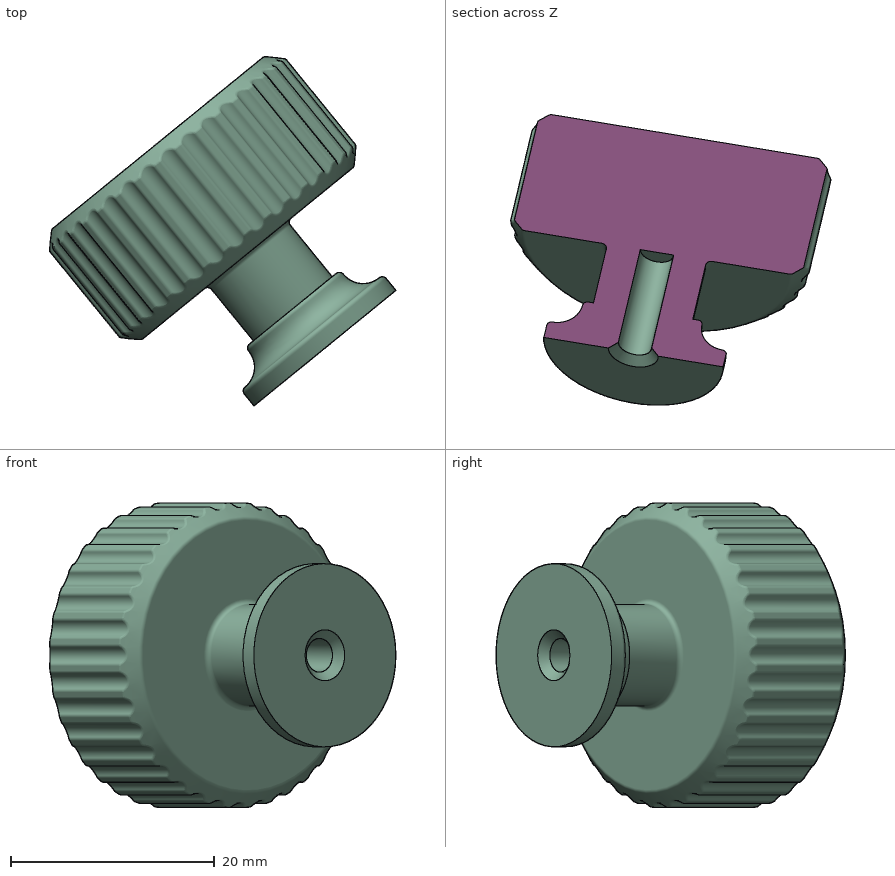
import cadquery as cq
import math

TILT = 39.15

HEAD_RADIUS = 15.0
HEAD_LENGTH = 14.0
HEAD_CHAMFER = 1.53
FACE_EDGE_ROUND = 0.5

FLUTE_COUNT = 36
FLUTE_RADIUS = 1.0
FLUTE_DEPTH = 0.5
LAND_EDGE_ROUND = 0.4
FLUTE_END_ROUND = 0.3

STEM_RADIUS = 5.0
STEM_LENGTH = 7.0
STEM_ROOT_ROUND = 0.5

FOOT_RADIUS = 9.0
FOOT_RIM_HEIGHT = 2.0
FOOT_EDGE_ROUND = 0.5
FLARE_RADIUS = 2.5

HOLE_DIAMETER = 3.3
COUNTERSINK_DIAMETER = 5.0
COUNTERSINK_ANGLE = 90.0

COLLAR_RADIUS = FOOT_RADIUS - FOOT_EDGE_ROUND - FLARE_RADIUS
FOOT_LENGTH = FOOT_RIM_HEIGHT + FLARE_RADIUS + FOOT_EDGE_ROUND
HEAD_START = FOOT_LENGTH + STEM_LENGTH
HOLE_DEPTH = HEAD_START

OUTWARD_UP = 45
INWARD_UP = 135
INWARD_DOWN = 225


def make_head():
    """Chamfered cylinder with flutes along its side and all edges rounded."""
    blank = (
        cq.Workplane("XY", origin=(0, 0, HEAD_START))
        .circle(HEAD_RADIUS)
        .extrude(HEAD_LENGTH)
        .faces("<Z or >Z")
        .chamfer(HEAD_CHAMFER)
        .faces("<Z or >Z")
        .edges()
        .fillet(FACE_EDGE_ROUND)
    )
    flutes = (
        cq.Workplane("XY", origin=(0, 0, HEAD_START))
        .polarArray(HEAD_RADIUS - FLUTE_DEPTH + FLUTE_RADIUS, 0, 360, FLUTE_COUNT)
        .circle(FLUTE_RADIUS)
        .extrude(HEAD_LENGTH)
    )
    fluted = blank.cut(flutes).edges("|Z").fillet(LAND_EDGE_ROUND)
    return fluted.faces("%CYLINDER").edges("not |Z").fillet(FLUTE_END_ROUND)


def quarter_arc(profile, center, radius, mid_angle, end):
    """Continue the profile to the end point along a quarter arc about the center."""
    angle = math.radians(mid_angle)
    middle = (center[0] + radius * math.cos(angle), center[1] + radius * math.sin(angle))
    return profile.threePointArc(middle, end)


def make_stem_and_foot():
    """Turned body: rim, concave flare, collar, stem and the round under the head."""
    edge = FOOT_EDGE_ROUND
    root = STEM_ROOT_ROUND
    flare_outer = FOOT_RADIUS - edge
    collar_start = FOOT_LENGTH - edge
    root_radius = STEM_RADIUS + root
    root_start = HEAD_START - root
    rim_top = FOOT_RIM_HEIGHT - edge

    profile = cq.Workplane("XZ").lineTo(FOOT_RADIUS, 0).lineTo(FOOT_RADIUS, rim_top)
    profile = quarter_arc(
        profile, (flare_outer, rim_top), edge, OUTWARD_UP, (flare_outer, FOOT_RIM_HEIGHT)
    )
    profile = quarter_arc(
        profile, (flare_outer, collar_start), FLARE_RADIUS, INWARD_DOWN, (COLLAR_RADIUS, collar_start)
    )
    profile = quarter_arc(
        profile, (COLLAR_RADIUS - edge, collar_start), edge, OUTWARD_UP, (COLLAR_RADIUS - edge, FOOT_LENGTH)
    )
    profile = profile.lineTo(STEM_RADIUS, FOOT_LENGTH).lineTo(STEM_RADIUS, root_start)
    profile = quarter_arc(profile, (root_radius, root_start), root, INWARD_UP, (root_radius, HEAD_START))
    return profile.lineTo(0, HEAD_START).close().revolve(360, (0, 0, 0), (0, 1, 0))


def drill_hole(body):
    """Countersunk blind hole on the axis, entering through the foot face."""
    foot_face = body.faces("<Z").workplane(origin=(0, 0, 0))
    return foot_face.cskHole(HOLE_DIAMETER, COUNTERSINK_DIAMETER, COUNTERSINK_ANGLE, HOLE_DEPTH)


knob = drill_hole(make_head().union(make_stem_and_foot()))
result = knob.rotate((0, 0, 0), (1, 0, 0), -90).rotate((0, 0, 0), (0, 0, 1), TILT)